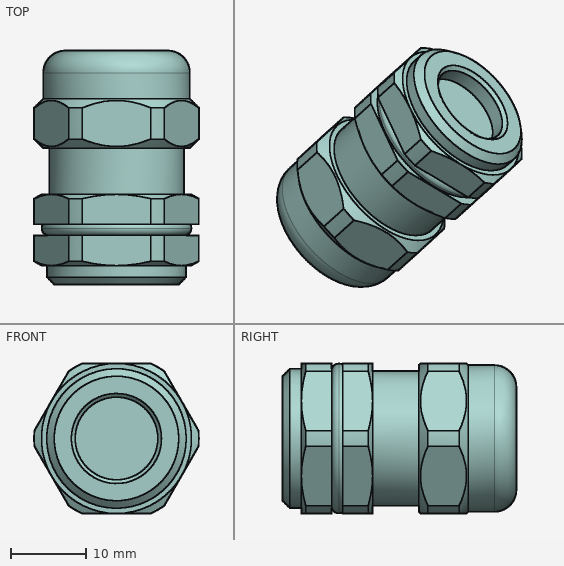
import cadquery as cq
import math

length = 31.2
hex_flats = 20.0
hex_corners = 22.0

sleeve_end = 2.53
locknut_end = 6.55
seal_end = 8.02
body_hex_end = 12.0
body_end = 18.18
cap_hex_end = 24.73

sleeve_diameter = 18.6
sleeve_chamfer = 1.0
seal_diameter = 20.0
seal_section_radius = 1.0
seal_centre = 7.52
body_diameter = 18.0
cap_diameter = 19.6
dome_radius = 3.0

nut_bevel_angle = 30.0
cap_bevel_angle = 45.0

entry_diameter = 11.0
entry_chamfer = 0.5
entry_depth = 2.53


def cylinder(start, end, diameter):
    """Round section along Y between two places."""
    section = cq.Workplane("XZ", origin=(0, start, 0)).circle(diameter / 2)
    return section.extrude(start - end)


def hexagon(start, end, face_diameter, bevel_angle, bevel_start, bevel_end):
    """Hexagon with flats facing +-Z, turned round corners and conical end bevels."""
    prism = cq.Workplane("XZ", origin=(0, start, 0)).polygon(6, hex_flats / math.cos(math.pi / 6))
    prism = prism.extrude(start - end)
    corner_radius = hex_corners / 2
    face_radius = face_diameter / 2
    bevel = (corner_radius - face_radius) * math.tan(math.radians(bevel_angle))
    outline = cq.Workplane("XY").moveTo(0, start)
    if bevel_start:
        outline = outline.lineTo(face_radius, start).lineTo(corner_radius, start + bevel)
    else:
        outline = outline.lineTo(corner_radius, start)
    if bevel_end:
        outline = outline.lineTo(corner_radius, end - bevel).lineTo(face_radius, end)
    else:
        outline = outline.lineTo(corner_radius, end)
    envelope = outline.lineTo(0, end).close().revolve(360, (0, 0, 0), (0, 1, 0))
    return prism.intersect(envelope)


sleeve = cylinder(0, sleeve_end, sleeve_diameter).faces("<Y").chamfer(sleeve_chamfer)
locknut = hexagon(sleeve_end, locknut_end, hex_flats, nut_bevel_angle, True, False)
seal_centre_radius = seal_diameter / 2 - seal_section_radius
seal_core = cylinder(locknut_end, seal_end, 2 * seal_centre_radius)
seal_ring = (
    cq.Workplane("XY")
    .center(seal_centre_radius, seal_centre)
    .circle(seal_section_radius)
    .revolve(360, (-seal_centre_radius, 0, 0), (-seal_centre_radius, 1, 0))
)
seal = seal_core.union(seal_ring)
body_hex = hexagon(seal_end, body_hex_end, hex_flats, nut_bevel_angle, False, True)
body = cylinder(body_hex_end, body_end, body_diameter)
cap_hex = hexagon(body_end, cap_hex_end, cap_diameter, cap_bevel_angle, True, True)
cap = cylinder(cap_hex_end, length, cap_diameter).faces(">Y").edges().fillet(dome_radius)

gland = sleeve
for section in (locknut, seal, body_hex, body, cap_hex, cap):
    gland = gland.union(section)

entry = cylinder(0, entry_depth, entry_diameter)
entry_radius = entry_diameter / 2
countersink = (
    cq.Workplane("XY")
    .polyline([(0, 0), (entry_radius + entry_chamfer, 0), (entry_radius, entry_chamfer), (0, entry_chamfer)])
    .close()
    .revolve(360, (0, 0, 0), (0, 1, 0))
)

result = gland.cut(entry).cut(countersink)